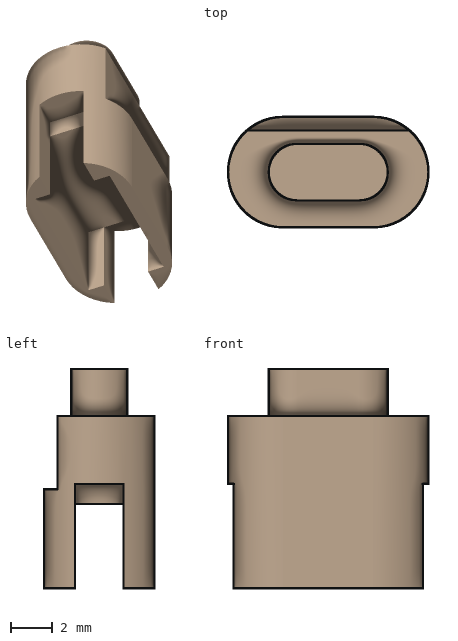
import cadquery as cq

body_length = 9.6
body_width = 5.3
body_height = 8.25

boss_length = 5.7
boss_width = 2.7
total_height = 10.5
boss_height = total_height - body_height

flat_y = 2.0
ledge_height = 4.75

cavity_length = 6.54
cavity_width = 3.92
cavity_depth = 4.03

slot_width = 2.3
slot_height = 5.0


def obround(length, width, height, base_z):
    """Upright obround prism, long axis along X."""
    return cq.Workplane("XY").workplane(offset=base_z).slot2D(length, width).extrude(height)


def box_on_base(length, width, height):
    """Box centred in X and Y, standing on Z = 0."""
    return cq.Workplane("XY").box(length, width, height, centered=(True, True, False))


def side_flat_cutter():
    """Block removed beyond the flat, from the ledge up to the body top."""
    depth = body_width / 2 - flat_y
    return (
        cq.Workplane("XY")
        .box(body_length, depth, body_height - ledge_height, centered=(True, False, False))
        .translate((0, flat_y, ledge_height))
    )


def end_slot_cutter(side):
    """Slot from the cavity end out through one rounded end (side is -1 or +1)."""
    slot_length = (body_length - cavity_length) / 2
    slot_center_x = side * (cavity_length + slot_length) / 2
    return box_on_base(slot_length, slot_width, slot_height).translate((slot_center_x, 0, 0))


result = obround(body_length, body_width, body_height, 0)
result = result.cut(side_flat_cutter())
result = result.union(obround(boss_length, boss_width, boss_height, body_height))
result = result.cut(box_on_base(cavity_length, cavity_width, cavity_depth))
for end_side in (-1, 1):
    result = result.cut(end_slot_cutter(end_side))